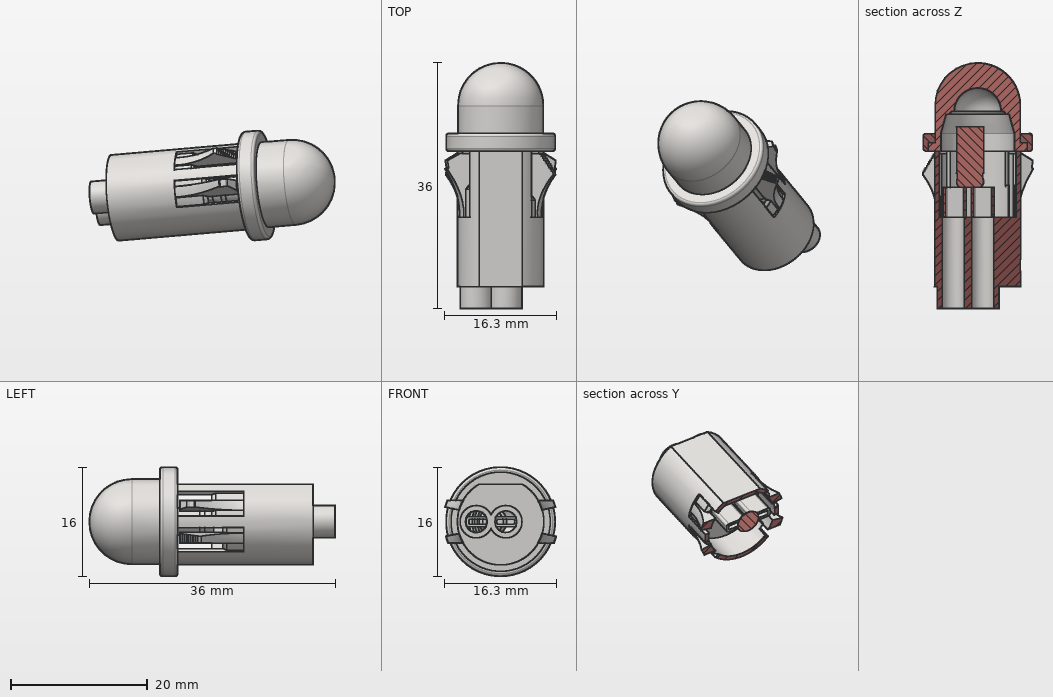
import cadquery as cq
import math

TOTAL_LENGTH = 35.95
LENS_TIP_Y = 12.95
SLEEVE_END_Y = LENS_TIP_Y - TOTAL_LENGTH

LENS_RADIUS = 6.25
DOME_BASE_Y = LENS_TIP_Y - LENS_RADIUS
LENS_BORE_RADIUS = 5.35
COLLAR_RADIUS = 7.25
COLLAR_THICKNESS = 1.3
LENS_LEDGE_RADII = (4.6, 4.17, 3.8, 3.4)
LENS_LEDGE_Y = 5.4
LENS_STEP_HEIGHT = 0.43

BEZEL_RADIUS = 16.0 / 2
BEZEL_THICKNESS = 2.62
BEZEL_FILLET = 0.43

HOUSING_RADIUS = 6.33
BORE_RADIUS = 5.6
HOUSING_LENGTH = 19.8
FLAT_HEIGHT = 5.5
FLAT_WALL = HOUSING_RADIUS - BORE_RADIUS

SLEEVE_RADIUS = 2.37
SLEEVE_HOLE_RADIUS = 1.58
SLEEVE_XS = (-3.55, 0.75)

WINDOW_LENGTH = 9.63
WINDOW_START_ANGLE = 7.8
WINDOW_END_ANGLE = 44.4
WINDOW_SWEEP = WINDOW_END_ANGLE - WINDOW_START_ANGLE
CUT_MARGIN = 0.35
SLEEVE_EMBEDDING = 1.8

SHELF_RADIUS = 5.95
SHELF_RAMP_LENGTH = 0.6
SHORT_SHELF_FRONT_Y = -6.58
LONG_SHELF_FRONT_Y = -4.95

BARB_FRONT_Y = -0.32
BARB_TOP_Z = 3.13
BARB_BOTTOM_Z = 1.75
BARB_BOTTOM_SLOPE = 0.21
BARB_ROOT_RADIUS = 6.3
BARB_ROOT_Y = -8.0
BARB_INNER_RADIUS = BORE_RADIUS - 0.15
BARB_REACH = 9.0
BARB_EMBEDDING = 0.35
BARB_REAR_Y = -WINDOW_LENGTH - BARB_EMBEDDING

NOTCHED_FRONT = [(6.7, BARB_FRONT_Y), (8.35, -1.33), (8.35, -1.58), (8.2, -2.45)]
NOTCHED_TIP = (8.4, -2.55)
NOTCHED_BACK = (7.33, -4.53)

STEP_COUNT = 10
STEP_START_RADIUS = 6.55
STEP_START_Y = -0.45
STEP_RISE = 0.17
STEP_RUN = 0.273
STEPPED_TIP = (8.3, -3.4)
STEPPED_BACK = (7.25, -5.03)

BULB_X = -1.1
BULB_RADIUS = 2.0
BULB_FRONT_Y = 3.6
BULB_SHOULDER_Y = -3.25
BULB_NECK_RADIUS = 1.87
BULB_NECK_Y = -3.95
BULB_BEAD_Y = -4.45
BULB_REAR_Y = -5.3
BULB_REAR_RADIUS = 1.5

TERMINAL_XS = (-3.35, 0.75)
TERMINAL_WIDTH = 3.38
TERMINAL_HEIGHT = 1.5
TERMINAL_WALL = 0.4
TERMINAL_CORNER = 0.43
TERMINAL_HOLE_CORNER = 0.18

AXIS_START = (0, 0, 0)
AXIS_END = (0, 1, 0)


def rod(radius, y_rear, y_front, x=0.0):
    """Round bar parallel to Y."""
    return cq.Workplane("XZ", origin=(x, y_rear, 0)).circle(radius).extrude(y_rear - y_front)


def flat_topped_rod(radius, length, flat_height):
    """Bar from Y = 0 towards -Y whose round section is cut flat on top."""
    above_flat = cq.Workplane("XY", origin=(0, -length / 2, flat_height)).box(
        2 * radius, length, radius, centered=(True, True, False)
    )
    return rod(radius, -length, 0).cut(above_flat)


def turned(profile):
    """Full turn of an XY profile about the Y axis."""
    return profile.revolve(360, AXIS_START, AXIS_END)


def window_sector(profile):
    """Turn an XY profile about Y through the angles of the +X +Z window only."""
    sector = profile.revolve(WINDOW_SWEEP, AXIS_START, AXIS_END)
    return sector.rotate(AXIS_START, AXIS_END, -WINDOW_END_ANGLE)


def make_lens():
    """Hollow dome with a retaining collar and a stepped ledge inside."""
    ledge_outer, step_outer, step_inner, dome_inner = LENS_LEDGE_RADII
    step_y = LENS_LEDGE_Y + LENS_STEP_HEIGHT
    dome_tip_y = step_y + dome_inner
    chord = math.sqrt(0.5)
    outer = (
        cq.Workplane("XY")
        .moveTo(0, 0)
        .lineTo(COLLAR_RADIUS, 0)
        .lineTo(COLLAR_RADIUS, COLLAR_THICKNESS)
        .lineTo(LENS_RADIUS, COLLAR_THICKNESS)
        .lineTo(LENS_RADIUS, DOME_BASE_Y)
        .threePointArc((LENS_RADIUS * chord, DOME_BASE_Y + LENS_RADIUS * chord), (0, LENS_TIP_Y))
        .close()
    )
    cavity = (
        cq.Workplane("XY")
        .moveTo(0, 0)
        .lineTo(LENS_BORE_RADIUS, 0)
        .lineTo(LENS_BORE_RADIUS, BEZEL_THICKNESS)
        .lineTo(ledge_outer, LENS_LEDGE_Y)
        .lineTo(step_outer, LENS_LEDGE_Y)
        .lineTo(step_inner, step_y)
        .lineTo(dome_inner, step_y)
        .threePointArc((dome_inner * chord, step_y + dome_inner * chord), (0, dome_tip_y))
        .close()
    )
    return turned(outer).cut(turned(cavity))


def make_bezel():
    """Rounded ring that holds the lens collar in a rear recess."""
    ring = rod(BEZEL_RADIUS, 0, BEZEL_THICKNESS).edges().fillet(BEZEL_FILLET)
    lens_hole = rod(LENS_RADIUS, 0, BEZEL_THICKNESS)
    collar_recess = rod(COLLAR_RADIUS, 0, COLLAR_THICKNESS)
    return ring.cut(lens_hole).cut(collar_recess)


def barb_slab():
    """Prism along Y between the sloped underside and the flat top of a barb."""
    inner_z = BARB_BOTTOM_Z - BARB_BOTTOM_SLOPE * HOUSING_RADIUS
    outer_z = inner_z + BARB_BOTTOM_SLOPE * BARB_REACH
    outline = [(0, inner_z), (BARB_REACH, outer_z), (BARB_REACH, BARB_TOP_Z), (0, BARB_TOP_Z)]
    return cq.Workplane("XZ").polyline(outline).close().extrude(-BARB_REAR_Y)


def make_barb(front_points, tip, back_point):
    """Barb in the +X +Z window: a front outline to the tip, then a curve back to the root."""
    root = (BARB_ROOT_RADIUS, BARB_ROOT_Y)
    rear_end = (BARB_ROOT_RADIUS, BARB_REAR_Y)
    profile = (
        cq.Workplane("XY")
        .moveTo(BARB_INNER_RADIUS, BARB_FRONT_Y)
        .polyline(front_points + [tip], includeCurrent=True)
        .spline([back_point, root, rear_end], includeCurrent=True)
        .lineTo(BARB_INNER_RADIUS, BARB_REAR_Y)
        .close()
    )
    return window_sector(profile).intersect(barb_slab())


def stepped_front():
    """Staircase outline of the ramp of the stepped barb."""
    points = [(STEP_START_RADIUS, BARB_FRONT_Y)]
    for step in range(STEP_COUNT):
        radius = STEP_START_RADIUS + step * STEP_RISE
        y = STEP_START_Y - step * STEP_RUN
        points += [(radius, y), (radius + STEP_RISE, y)]
    return points


def window_cut(shelf_front_y):
    """Opening in the +X +Z quadrant: through the wall in front, down to the ramped shelf behind."""
    outer_radius = HOUSING_RADIUS + CUT_MARGIN
    inner_radius = BORE_RADIUS - CUT_MARGIN
    ramp_slope = SHELF_RAMP_LENGTH / (SHELF_RADIUS - BORE_RADIUS)
    profile = (
        cq.Workplane("XY")
        .moveTo(inner_radius, 0)
        .lineTo(inner_radius, shelf_front_y + CUT_MARGIN * ramp_slope)
        .lineTo(SHELF_RADIUS, shelf_front_y - SHELF_RAMP_LENGTH)
        .lineTo(SHELF_RADIUS, -WINDOW_LENGTH)
        .lineTo(outer_radius, -WINDOW_LENGTH)
        .lineTo(outer_radius, 0)
        .close()
    )
    return window_sector(profile)


def terminal_block(x, width, height, corner):
    """Rounded bar along Y from the bulb to the rear wall of the cavity."""
    return (
        cq.Workplane("XZ", origin=(x, BULB_REAR_Y, 0))
        .rect(width, height)
        .extrude(WINDOW_LENGTH + BULB_REAR_Y)
        .edges("|Y")
        .fillet(corner)
    )


def make_housing():
    """Flat-topped tube with a closed rear end, wire sleeves and snap barbs."""
    cavity_height = FLAT_HEIGHT - FLAT_WALL
    housing = flat_topped_rod(HOUSING_RADIUS, HOUSING_LENGTH, FLAT_HEIGHT)
    for x in SLEEVE_XS:
        housing = housing.union(rod(SLEEVE_RADIUS, SLEEVE_END_Y, SLEEVE_EMBEDDING - HOUSING_LENGTH, x))
    for x in SLEEVE_XS:
        housing = housing.cut(rod(SLEEVE_HOLE_RADIUS, SLEEVE_END_Y, -WINDOW_LENGTH, x))
    housing = housing.cut(flat_topped_rod(BORE_RADIUS, WINDOW_LENGTH, cavity_height))

    notched_barb = make_barb(NOTCHED_FRONT, NOTCHED_TIP, NOTCHED_BACK)
    stepped_barb = make_barb(stepped_front(), STEPPED_TIP, STEPPED_BACK)
    stepped_window = window_cut(SHORT_SHELF_FRONT_Y)
    notched_window = window_cut(LONG_SHELF_FRONT_Y)
    for half_turn in (0, 180):
        for window in (stepped_window, notched_window.mirror("YZ")):
            housing = housing.cut(window.rotate(AXIS_START, AXIS_END, half_turn))
        for barb in (stepped_barb, notched_barb.mirror("YZ")):
            housing = housing.union(barb.rotate(AXIS_START, AXIS_END, half_turn))
    return housing


def make_bulb():
    """Round bulb with a neck in front of a rounded rear bead."""
    profile = (
        cq.Workplane("XY")
        .moveTo(0, BULB_FRONT_Y)
        .lineTo(BULB_RADIUS, BULB_FRONT_Y)
        .lineTo(BULB_RADIUS, BULB_SHOULDER_Y)
        .lineTo(BULB_NECK_RADIUS, BULB_SHOULDER_Y)
        .lineTo(BULB_NECK_RADIUS, BULB_NECK_Y)
        .threePointArc((BULB_RADIUS, BULB_BEAD_Y), (BULB_REAR_RADIUS, BULB_REAR_Y))
        .lineTo(0, BULB_REAR_Y)
        .close()
    )
    return turned(profile).translate((BULB_X, 0, 0))


def make_terminal(x):
    """Flat rectangular tube."""
    outer = terminal_block(x, TERMINAL_WIDTH, TERMINAL_HEIGHT, TERMINAL_CORNER)
    hole_width = TERMINAL_WIDTH - 2 * TERMINAL_WALL
    hole_height = TERMINAL_HEIGHT - 2 * TERMINAL_WALL
    return outer.cut(terminal_block(x, hole_width, hole_height, TERMINAL_HOLE_CORNER))


lens = make_lens()
bezel = make_bezel()
housing = make_housing()
bulb = make_bulb()
terminals = [make_terminal(x) for x in TERMINAL_XS]

result = cq.Compound.makeCompound(
    [lens.val(), bezel.val(), housing.val(), bulb.val(), *[terminal.val() for terminal in terminals]]
)